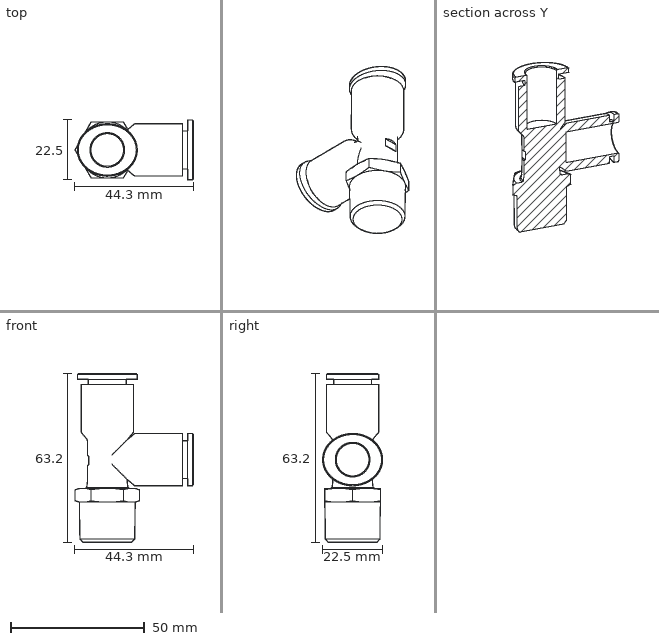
import cadquery as cq
import math

thread_length = 15.0
thread_top_radius = 10.5
thread_low_radius = 10.3
thread_chamfer_height = 1.25
thread_tip_radius = 9.15

hex_across_flats = 21.0
hex_height = 5.2
hex_chamfer_drop = 0.55

collar_height = 2.35
collar_base_radius = 7.75
collar_flare_radius = 8.25
collar_flare_height = 0.35

stem_radius = 7.5
branch_z = 30.95
port_reach = 32.2
shoulder_start = 7.45
shoulder_end = 10.25
shoulder_blend = 1.0
socket_radius = 9.85
socket_end = 28.2
socket_edge_round = 0.25

sleeve_radius = 7.15
flange_length = 22.5
flange_width = 19.6
flange_thickness = 2.15
flange_chamfer = 0.4
bore_radius = 6.1
bore_chamfer = 0.4

recess_depth = 0.55
recess_width = 5.6
recess_floor_height = 3.2
recess_mouth_height = 3.85
recess_z = 30.6

hex_top = thread_length + hex_height
hex_corner_diameter = hex_across_flats / math.cos(math.pi / 6)
collar_top = hex_top + collar_height
flange_start = port_reach - flange_thickness
bore_depth = port_reach - shoulder_end


def make_thread_end():
    """Plain tapered thread envelope with a chamfered tip."""
    return (
        cq.Workplane("XZ")
        .moveTo(0, 0)
        .lineTo(thread_tip_radius, 0)
        .lineTo(thread_low_radius, thread_chamfer_height)
        .lineTo(thread_top_radius, thread_length)
        .lineTo(0, thread_length)
        .close()
        .revolve(360, (0, 0), (0, 1))
    )


def make_hexagon():
    """Hexagon with corners on the X axis, turned off conically on both faces."""
    prism = (
        cq.Workplane("XY", origin=(0, 0, thread_length))
        .polygon(6, hex_corner_diameter)
        .extrude(hex_height)
    )
    face_radius = hex_across_flats / 2
    corner_radius = hex_corner_diameter / 2
    turned_envelope = (
        cq.Workplane("XZ")
        .moveTo(0, thread_length)
        .lineTo(face_radius, thread_length)
        .lineTo(corner_radius, thread_length + hex_chamfer_drop)
        .lineTo(corner_radius, hex_top - hex_chamfer_drop)
        .lineTo(face_radius, hex_top)
        .lineTo(0, hex_top)
        .close()
        .revolve(360, (0, 0), (0, 1))
    )
    return prism.intersect(turned_envelope)


def make_collar():
    """Slightly tapered collar flaring out where it meets the hexagon."""
    return (
        cq.Workplane("XZ")
        .moveTo(0, hex_top)
        .lineTo(collar_flare_radius, hex_top)
        .lineTo(collar_base_radius, hex_top + collar_flare_height)
        .lineTo(stem_radius, collar_top)
        .lineTo(0, collar_top)
        .close()
        .revolve(360, (0, 0), (0, 1))
    )


def make_stem():
    """Cylinder from the collar up to the tee centre."""
    return (
        cq.Workplane("XY", origin=(0, 0, collar_top))
        .circle(stem_radius)
        .extrude(branch_z - collar_top)
    )


def make_port():
    """Tube port along +Z from the tee centre, flange longest along X."""
    neck = cq.Workplane("XY").circle(stem_radius).extrude(shoulder_end)
    shoulder_and_socket = (
        cq.Workplane("XZ")
        .moveTo(0, shoulder_start)
        .lineTo(stem_radius, shoulder_start)
        .lineTo(socket_radius, shoulder_end)
        .lineTo(socket_radius, socket_end)
        .lineTo(0, socket_end)
        .close()
        .revolve(360, (0, 0), (0, 1))
    )
    shoulder_edges = cq.selectors.BoxSelector(
        (-flange_length, -flange_length, shoulder_start - shoulder_blend / 2),
        (flange_length, flange_length, shoulder_end + shoulder_blend / 2),
    )
    shell = (
        neck.union(shoulder_and_socket)
        .edges("%CIRCLE")
        .edges(shoulder_edges)
        .fillet(shoulder_blend)
        .faces(">Z")
        .edges()
        .fillet(socket_edge_round)
    )
    sleeve = (
        cq.Workplane("XY", origin=(0, 0, socket_end))
        .circle(sleeve_radius)
        .extrude(flange_start - socket_end)
    )
    flange = (
        cq.Workplane("XY", origin=(0, 0, flange_start))
        .ellipse(flange_length / 2, flange_width / 2)
        .extrude(flange_thickness)
        .faces(">Z")
        .edges()
        .chamfer(flange_chamfer)
    )
    return shell.union(sleeve).union(flange)


def make_bore():
    """Blind tube bore of a port, with its mouth chamfer."""
    return (
        cq.Workplane("XZ")
        .moveTo(0, port_reach - bore_depth)
        .lineTo(bore_radius, port_reach - bore_depth)
        .lineTo(bore_radius, port_reach - bore_chamfer)
        .lineTo(bore_radius + bore_chamfer, port_reach)
        .lineTo(0, port_reach)
        .close()
        .revolve(360, (0, 0), (0, 1))
    )


def make_recess():
    """Flat-floored recess in the -X side, narrowing in height towards its floor."""
    mouth_x = -stem_radius
    floor_x = mouth_x + recess_depth
    mouth_half = recess_mouth_height / 2
    floor_half = recess_floor_height / 2
    return (
        cq.Workplane("XZ", origin=(0, 0, recess_z))
        .polyline([
            (mouth_x, -mouth_half),
            (floor_x, -floor_half),
            (floor_x, floor_half),
            (mouth_x, mouth_half),
        ])
        .close()
        .extrude(recess_width / 2, both=True)
    )


def on_upper_port(shape):
    """Move a port shape to the upward port."""
    return shape.translate((0, 0, branch_z))


def on_side_port(shape):
    """Turn a port shape to point along +X with its flange longest along Y."""
    return (
        shape.rotate((0, 0, 0), (0, 0, 1), 90)
        .rotate((0, 0, 0), (0, 1, 0), 90)
        .translate((0, 0, branch_z))
    )


body = make_thread_end()
for piece in (make_hexagon(), make_collar(), make_stem()):
    body = body.union(piece)

for place in (on_upper_port, on_side_port):
    body = body.union(place(make_port()))

for place in (on_upper_port, on_side_port):
    body = body.cut(place(make_bore()))

result = body.cut(make_recess())